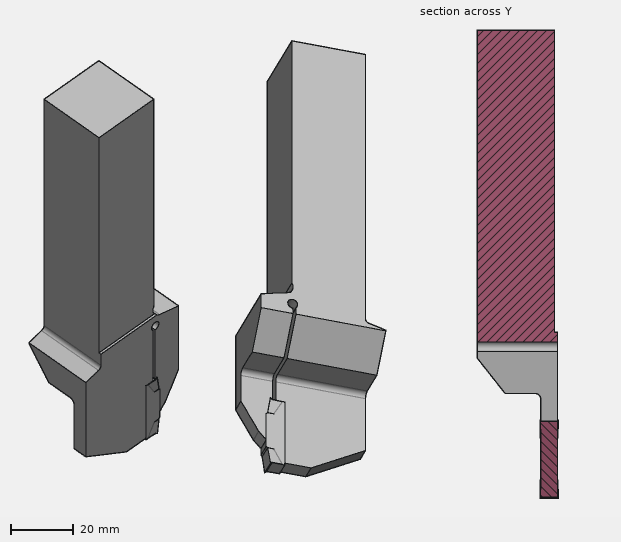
import cadquery as cq
import math

total_height = 150.0
shank_width = 24.9

head_width = 25.8
head_back = -6.9
head_front = 35.2
back_top_z = 45.3
back_bottom_z = 11.8
base_z = 1.2
base_back_y = 11.5
jaw_top_z = 50.4
jaw_bottom_z = 21.9
jaw_knee_y, jaw_knee_z = 29.2, 11.5
jaw_lip_z = 8.8
shoulder_z = 53.2
shoulder_slope = math.radians(14)
back_fillet = 1.5
relief_radius = 2.7
relief_z = 55.2

blade_x = 20.4
bevel_top_z = 45.0
bevel_bottom_x, bevel_bottom_z = 9.0, 33.6
blade_fillet = 1.8

slit_y = 24.0
slit_width = 1.0
slit_hole_y, slit_hole_z = 24.6, 48.8
slit_hole_radius = 1.6

insert_seat_y = 20.4
insert_back_y = 26.7
insert_height = 25.2
end_z = 0.5
tip_y = 25.4
tip_relief_y = 24.8
neck_y, neck_z = 26.2, 5.8
waist_z = 6.3
wedge_top_y = 24.2
wedge_foot_y, wedge_foot_z = 21.3, 0.6
tip_overhang = 0.3
insert_mid_x = (blade_x + head_width) / 2
insert_mid_z = insert_height / 2


def mirror_height(z):
    """Height of the matching point on the other end of the insert."""
    return insert_height - z


def head_outline():
    """Side outline of shank and head in the YZ plane."""
    fillet_dz = back_fillet * math.cos(shoulder_slope)
    fillet_dy = back_fillet * (1 - math.sin(shoulder_slope))
    fillet_end_z = back_top_z + (-fillet_dy - head_back) * math.tan(shoulder_slope)
    fillet_mid_angle = (math.pi / 2 - shoulder_slope) / 2
    fillet_mid = (
        -back_fillet * (1 - math.cos(fillet_mid_angle)),
        fillet_end_z + fillet_dz - back_fillet * math.sin(fillet_mid_angle),
    )

    jaw_edge_offset = jaw_top_z - relief_z
    relief_offset = relief_radius / math.cos(shoulder_slope)
    relief_y = head_front + (jaw_edge_offset + relief_offset) / math.tan(shoulder_slope)
    relief_end = (
        relief_y - relief_radius * math.sin(shoulder_slope),
        relief_z - relief_radius * math.cos(shoulder_slope),
    )
    relief_rise = math.sqrt(relief_radius**2 - (relief_y - shank_width) ** 2)

    return (
        cq.Workplane("YZ")
        .moveTo(0, total_height)
        .lineTo(0, fillet_end_z + fillet_dz)
        .threePointArc(fillet_mid, (-fillet_dy, fillet_end_z))
        .lineTo(head_back, back_top_z)
        .lineTo(head_back, back_bottom_z)
        .lineTo(base_back_y, base_z)
        .lineTo(insert_seat_y, base_z)
        .lineTo(insert_seat_y, jaw_lip_z)
        .lineTo(insert_back_y, jaw_lip_z)
        .lineTo(jaw_knee_y, jaw_knee_z)
        .lineTo(head_front, jaw_bottom_z)
        .lineTo(head_front, jaw_top_z)
        .lineTo(*relief_end)
        .threePointArc((relief_y - relief_radius, relief_z), (shank_width, relief_z + relief_rise))
        .lineTo(shank_width, total_height)
        .close()
    )


def front_profile():
    """Stepped profile in the XZ plane, extruded over the whole depth in Y."""
    corner = blade_fillet * (1 - math.sqrt(0.5))
    return (
        cq.Workplane("XZ", origin=(0, head_front, 0))
        .moveTo(0, total_height)
        .lineTo(0, bevel_top_z)
        .lineTo(bevel_bottom_x, bevel_bottom_z)
        .lineTo(blade_x - blade_fillet, bevel_bottom_z)
        .threePointArc(
            (blade_x - corner, bevel_bottom_z - corner),
            (blade_x, bevel_bottom_z - blade_fillet),
        )
        .lineTo(blade_x, 0)
        .lineTo(head_width, 0)
        .lineTo(head_width, shoulder_z)
        .lineTo(shank_width, shoulder_z)
        .lineTo(shank_width, total_height)
        .close()
        .extrude(head_front - head_back)
    )


def clamping_slit():
    """Thin slit from the insert up to its round end hole."""
    slit_height = slit_hole_z - insert_mid_z
    slit = (
        cq.Workplane("YZ")
        .center(slit_y, insert_mid_z + slit_height / 2)
        .rect(slit_width, slit_height)
        .extrude(head_width)
    )
    hole = (
        cq.Workplane("YZ")
        .center(slit_hole_y, slit_hole_z)
        .circle(slit_hole_radius)
        .extrude(head_width)
    )
    return slit.union(hole)


def insert_core():
    """Flat insert with a pointed cutting tip at each end."""
    lower_end = [
        (insert_seat_y, end_z),
        (tip_relief_y, end_z),
        (tip_y, 0),
        (neck_y, neck_z),
        (insert_back_y, waist_z),
    ]
    upper_end = [(y, mirror_height(z)) for y, z in reversed(lower_end)]
    return (
        cq.Workplane("YZ", origin=(blade_x, 0, 0))
        .polyline(lower_end + upper_end)
        .close()
        .extrude(head_width - blade_x)
    )


def cutting_end():
    """Lower cutting end, flaring in X from the core sides out to the tip."""
    outline = [
        (wedge_foot_y, wedge_foot_z),
        (tip_relief_y, end_z),
        (tip_y, 0),
        (neck_y, neck_z),
        (wedge_top_y, neck_z),
    ]
    core_half = (head_width - blade_x) / 2
    tip_half = core_half + tip_overhang
    block = (
        cq.Workplane("YZ", origin=(insert_mid_x, 0, 0))
        .polyline(outline)
        .close()
        .extrude(tip_half, both=True)
    )

    run_y = wedge_top_y - wedge_foot_y
    run_z = neck_z - wedge_foot_z
    run = math.hypot(run_y, run_z)
    tip_distance = ((tip_y - wedge_foot_y) * run_z + wedge_foot_z * run_y) / run
    flare_plane = cq.Plane(
        origin=(insert_mid_x, wedge_foot_y, wedge_foot_z),
        xDir=(1, 0, 0),
        normal=(0, run_y, run_z),
    )
    flare = (
        cq.Workplane(flare_plane)
        .polyline([
            (-core_half, 0),
            (core_half, 0),
            (tip_half, tip_distance),
            (-tip_half, tip_distance),
        ])
        .close()
        .extrude(insert_height, both=True)
    )
    return block.intersect(flare)


def make_insert():
    lower = cutting_end()
    upper = lower.mirror("XY", (0, 0, insert_mid_z))
    return insert_core().union(lower).union(upper)


def make_holder(insert):
    blank = head_outline().extrude(head_width).intersect(front_profile())
    return blank.cut(clamping_slit()).cut(insert)


cutting_insert = make_insert()
holder = make_holder(cutting_insert)

result = cq.Compound.makeCompound([holder.solids().val(), cutting_insert.solids().val()])